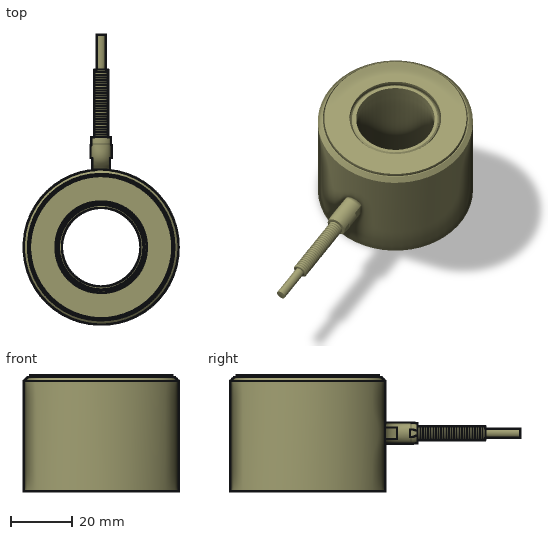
import cadquery as cq

overall_length = 94.95

housing_diameter = 50.8
housing_radius = housing_diameter / 2
housing_height = 38.1
housing_edge_chamfer = 1.4
bore_diameter = 25.6

load_ring_outer_diameter = 46.5
load_ring_inner_diameter = 30.0
load_ring_rise = 0.6

collar_diameter = 28.6
collar_chamfer = 0.5

rim_inner_diameter = 47.5
groove_depth = 1.7

cable_axis_height = housing_height / 2
gland_diameter = 7.0
gland_radius = gland_diameter / 2
gland_end_diameter = 6.55
gland_end_y = 36.0
gland_nose_length = 2.3
gland_nose_start_y = gland_end_y - gland_nose_length
wrench_flat_width = 5.9
wrench_flat_end_y = 29.15
nose_flat_width = 6.55
nose_flat_start_y = 33.4

cable_diameter = 3.0
cable_end_y = overall_length - housing_radius
relief_diameter = 4.8
relief_end_y = 58.1
relief_valley_diameter = 4.1
relief_ridge_count = 26


def make_housing():
    """Ring-shaped housing, revolved about Z from its half section."""
    shoulder_z = housing_height - load_ring_rise
    floor_z = housing_height - groove_depth
    return (
        cq.Workplane("XZ")
        .moveTo(bore_diameter / 2, 0)
        .lineTo(housing_radius, 0)
        .lineTo(housing_radius, shoulder_z - housing_edge_chamfer)
        .lineTo(housing_radius - housing_edge_chamfer, shoulder_z)
        .lineTo(rim_inner_diameter / 2, shoulder_z)
        .lineTo(rim_inner_diameter / 2, floor_z)
        .lineTo(load_ring_outer_diameter / 2, floor_z)
        .lineTo(load_ring_outer_diameter / 2, housing_height)
        .lineTo(load_ring_inner_diameter / 2, housing_height)
        .lineTo(load_ring_inner_diameter / 2, floor_z)
        .lineTo(collar_diameter / 2, floor_z)
        .lineTo(collar_diameter / 2, shoulder_z - collar_chamfer)
        .lineTo(collar_diameter / 2 - collar_chamfer, shoulder_z)
        .lineTo(bore_diameter / 2, shoulder_z)
        .close()
        .revolve(360, (0, 0, 0), (0, 1, 0))
    )


def cable_axis_plane(y):
    """Plane square to the cable axis at the given Y, facing +Y."""
    return cq.Plane(origin=(0, y, cable_axis_height), xDir=(1, 0, 0), normal=(0, 1, 0))


def cable_axis_cylinder(diameter, start_y, end_y):
    """Cylinder along the cable axis between two Y positions."""
    return cq.Workplane(cable_axis_plane(start_y)).circle(diameter / 2).extrude(end_y - start_y)


def trim_to_housing_wall(body):
    """Give the inner end of a body the curve of the housing wall."""
    return body.cut(cq.Workplane("XY").circle(housing_radius).extrude(housing_height))


def side_flats(width, start_y, end_y):
    """Cutters that leave two flats, facing -X and +X, the given width apart."""
    length = end_y - start_y
    offset = (width + gland_diameter) / 2
    return (
        cq.Workplane(cable_axis_plane((start_y + end_y) / 2))
        .pushPoints([(-offset, 0), (offset, 0)])
        .box(gland_diameter, 2 * gland_diameter, length)
    )


def make_gland():
    """Round gland with wrench flats and a rounded nose, bored for the cable."""
    drop = (gland_diameter - gland_end_diameter) / 2
    nose_arc_radius = (gland_nose_length**2 + drop**2) / (2 * drop)
    body = (
        cq.Workplane("XY", origin=(0, 0, cable_axis_height))
        .lineTo(gland_radius, 0)
        .lineTo(gland_radius, gland_nose_start_y)
        .radiusArc((gland_end_diameter / 2, gland_end_y), -nose_arc_radius)
        .lineTo(0, gland_end_y)
        .close()
        .revolve(360, (0, 0, 0), (0, 1, 0))
    )
    body = body.cut(side_flats(wrench_flat_width, 0, wrench_flat_end_y))
    body = body.cut(side_flats(nose_flat_width, nose_flat_start_y, gland_end_y))
    body = body.cut(cable_axis_cylinder(cable_diameter, 0, gland_end_y))
    return trim_to_housing_wall(body)


def make_relief():
    """Corrugated strain relief: a row of equal round ridges that meet in sharp valleys."""
    pitch = (relief_end_y - gland_end_y) / relief_ridge_count
    valley_radius = relief_valley_diameter / 2
    outline = (
        cq.Workplane("XY", origin=(0, 0, cable_axis_height))
        .moveTo(0, gland_end_y)
        .lineTo(valley_radius, gland_end_y)
    )
    for i in range(relief_ridge_count):
        start_y = gland_end_y + i * pitch
        crest = (relief_diameter / 2, start_y + pitch / 2)
        outline = outline.threePointArc(crest, (valley_radius, start_y + pitch))
    return outline.lineTo(0, relief_end_y).close().revolve(360, (0, 0, 0), (0, 1, 0))


def make_cable():
    """Cable with its corrugated strain relief, from the housing wall to the free end."""
    cable = cable_axis_cylinder(cable_diameter, 0, cable_end_y)
    return trim_to_housing_wall(cable.union(make_relief()))


housing = make_housing()
gland = make_gland()
cable = make_cable()

result = cq.Compound.makeCompound([housing.val(), gland.solids().val(), cable.solids().val()])